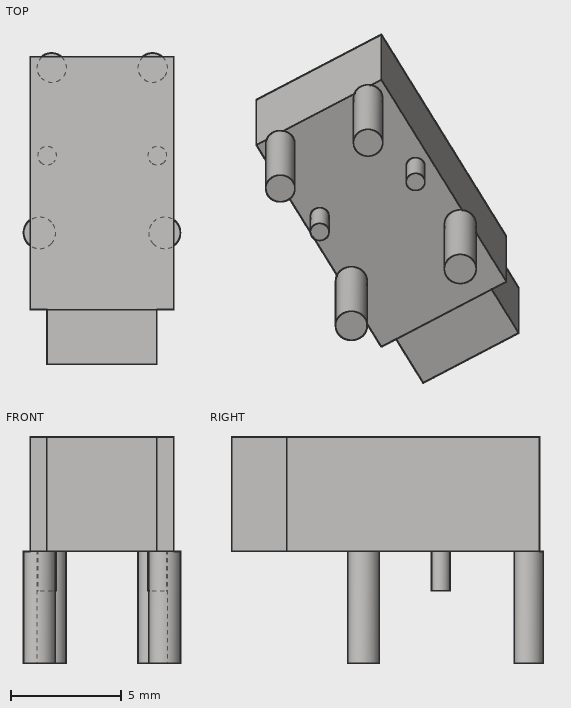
import cadquery as cq

OVERALL_WIDTH = 7.14
OVERALL_LENGTH = 14.16
OVERALL_HEIGHT = 10.3

BODY_HEIGHT = 5.2
HOUSING_WIDTH = 6.54
HOUSING_LENGTH = 11.5
NOSE_WIDTH = 5.0
NOSE_LENGTH = 2.49

PIN_LENGTH = OVERALL_HEIGHT - BODY_HEIGHT
FRONT_PIN_DIAMETER = 1.45
FRONT_PIN_X = (OVERALL_WIDTH - FRONT_PIN_DIAMETER) / 2
FRONT_PIN_Y = 5.99
REAR_PIN_DIAMETER = 1.33
REAR_PIN_X = 2.3
REAR_PIN_Y = OVERALL_LENGTH - REAR_PIN_DIAMETER / 2

PEG_DIAMETER = 0.85
PEG_LENGTH = 1.8
PEG_X = 2.5
PEG_Y = 9.5

SIDES = (-1, 1)


def make_block(width, length, front_y):
    """Block centred on X, standing on Z = 0 and running back from front_y."""
    return (
        cq.Workplane("XY")
        .box(width, length, BODY_HEIGHT, centered=(True, False, False))
        .translate((0, front_y, 0))
    )


def make_post(diameter, length, x, y):
    """Round post hanging down from the plane Z = 0."""
    return cq.Workplane("XY").center(x, y).circle(diameter / 2).extrude(-length)


nose = make_block(NOSE_WIDTH, NOSE_LENGTH, 0)
housing = make_block(HOUSING_WIDTH, HOUSING_LENGTH, NOSE_LENGTH)

front_pins = []
rear_pins = []
pegs = []
for side in SIDES:
    front_pins.append(make_post(FRONT_PIN_DIAMETER, PIN_LENGTH, side * FRONT_PIN_X, FRONT_PIN_Y).val())
    rear_pins.append(make_post(REAR_PIN_DIAMETER, PIN_LENGTH, side * REAR_PIN_X, REAR_PIN_Y).val())
    pegs.append(make_post(PEG_DIAMETER, PEG_LENGTH, side * PEG_X, PEG_Y).val())

result = cq.Compound.makeCompound([housing.val(), nose.val(), *front_pins, *rear_pins, *pegs])